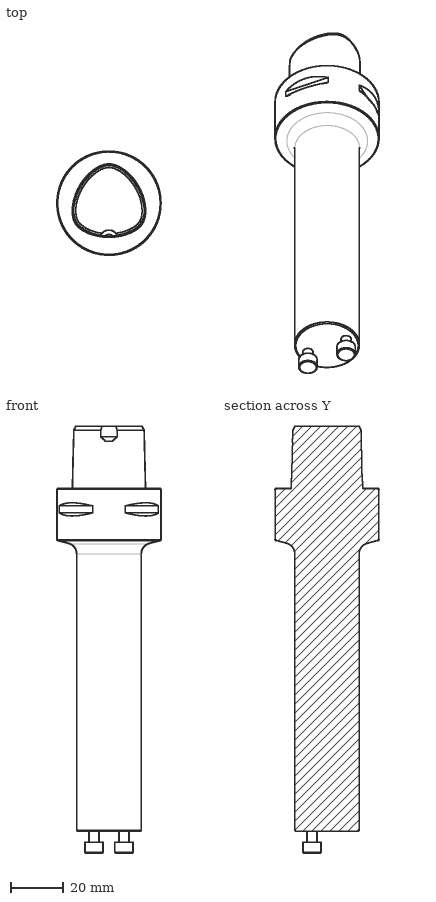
import cadquery as cq
import math

total_height = 164.0
shank_height = 24.0
collar_height = 20.0
collar_top = total_height - shank_height
collar_bottom = collar_top - collar_height
bar_bottom = 8.4

collar_radius = 20.0
collar_top_chamfer = 0.3
collar_rim = 0.3
bar_radius = 12.5
bar_chamfer = 0.5
neck_slope = math.radians(15)
neck_fillet = 4.1
neck_height = 5.1

shank_mean_radius = 14.1
lobe_offset = 1.0
curve_points = 36
taper_ratio = 1 / 20
shank_chamfer_height = 1.6
shank_chamfer_inset = 0.8

notch_radius = 3.5
notch_axis_y = -13.8
notch_depth = 4.1
notch_cone_depth = 1.6

slot_count = 4
first_slot_angle = 45
slot_z = 132.0
slot_floor_distance = 17.9
slot_floor_height = 2.6
slot_flank_angle = math.radians(30)

screw_offset = 5.7
screw_radius = 2.0
head_radius = 3.53
head_height = 4.3
head_chamfer = 0.3


def shank_section(z, mean_radius):
    """Closed curve of constant width with one lobe pointing to +Y."""

    def point(angle):
        along = (mean_radius * math.cos(angle)
                 + 2 * lobe_offset * math.cos(2 * angle)
                 - lobe_offset * math.cos(4 * angle))
        across = (mean_radius * math.sin(angle)
                  - 2 * lobe_offset * math.sin(2 * angle)
                  - lobe_offset * math.sin(4 * angle))
        return cq.Vector(-across, along, z)

    points = [point(2 * math.pi * step / curve_points) for step in range(curve_points)]
    return cq.Wire.assembleEdges([cq.Edge.makeSpline(points, periodic=True)])


def make_shank():
    shoulder_z = total_height - shank_chamfer_height
    shoulder_radius = shank_mean_radius - (shoulder_z - collar_top) * taper_ratio / 2
    base = shank_section(collar_top, shank_mean_radius)
    shoulder = shank_section(shoulder_z, shoulder_radius)
    top = shank_section(total_height, shoulder_radius - shank_chamfer_inset)
    return cq.Workplane("XY").add(cq.Solid.makeLoft([base, shoulder, top], ruled=True))


def make_body():
    """Revolve the bar, the filleted neck and the collar in one profile."""
    fillet_z = collar_bottom - neck_height
    arc_x = bar_radius + neck_fillet
    neck_angle = math.pi / 2 - neck_slope

    def on_fillet(angle):
        return (arc_x - neck_fillet * math.cos(angle), fillet_z + neck_fillet * math.sin(angle))

    return (
        cq.Workplane("XZ")
        .moveTo(0, bar_bottom)
        .lineTo(bar_radius - bar_chamfer, bar_bottom)
        .lineTo(bar_radius, bar_bottom + bar_chamfer)
        .lineTo(bar_radius, fillet_z)
        .threePointArc(on_fillet(neck_angle / 2), on_fillet(neck_angle))
        .lineTo(collar_radius - collar_rim, collar_bottom)
        .lineTo(collar_radius, collar_bottom + collar_rim)
        .lineTo(collar_radius, collar_top - collar_top_chamfer)
        .lineTo(collar_radius - collar_top_chamfer, collar_top)
        .lineTo(0, collar_top)
        .close()
        .revolve(360, (0, 0, 0), (0, 1, 0))
    )


def make_notch():
    """Vertical round cutter with a 45 degree cone at its end."""
    cone_z = total_height - notch_depth
    return (
        cq.Workplane("XZ")
        .moveTo(0, cone_z - notch_cone_depth)
        .lineTo(notch_radius - notch_cone_depth, cone_z - notch_cone_depth)
        .lineTo(notch_radius, cone_z)
        .lineTo(notch_radius, total_height)
        .lineTo(0, total_height)
        .close()
        .revolve(360, (0, 0, 0), (0, 1, 0))
        .translate((0, notch_axis_y, 0))
    )


def make_slot(angle):
    """Straight trapezoidal groove across the collar rim, facing the given angle."""
    half_floor = slot_floor_height / 2
    half_mouth = half_floor + (collar_radius - slot_floor_distance) * math.tan(slot_flank_angle)
    return (
        cq.Workplane("XZ")
        .moveTo(slot_floor_distance, slot_z - half_floor)
        .lineTo(collar_radius, slot_z - half_mouth)
        .lineTo(collar_radius, slot_z + half_mouth)
        .lineTo(slot_floor_distance, slot_z + half_floor)
        .close()
        .extrude(collar_radius, both=True)
        .rotate((0, 0, 0), (0, 0, 1), angle)
    )


def make_screw(x, y):
    head = cq.Workplane("XY").center(x, y).circle(head_radius).extrude(head_height)
    head = head.faces("<Z").chamfer(head_chamfer)
    stem = cq.Workplane("XY").center(x, y).circle(screw_radius).extrude(bar_bottom + bar_chamfer)
    return head.union(stem)


result = make_body().union(make_shank()).cut(make_notch())

for index in range(slot_count):
    result = result.cut(make_slot(first_slot_angle + index * 360 / slot_count))

for side in (-1, 1):
    result = result.union(make_screw(side * screw_offset, -side * screw_offset))